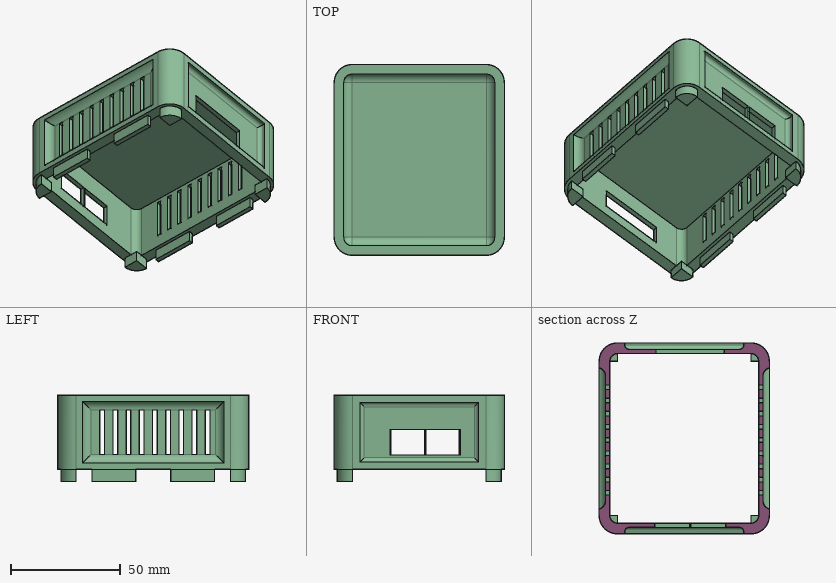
import cadquery as cq

length_x = 77.8
length_y = 87.2
height = 39.5

leg_height = 5.7
corner_radius = 8.5
body_height = height - leg_height
recess_depth = 3.0
web = 2.0
wall = recess_depth + web

dish_margin = 4.45
dish_fillet = 4.0

end_frame = 3.3
side_frame = 3.0
end_recess_fillet = 2.0
side_recess_fillet = 4.0

slot_count = 9
slot_width = 2.0
slot_pitch = 6.0
slot_center_y = -0.74

window_x = 2.7
window_width = 32.3
window_height = 11.5
window_sill = 6.5
mullion_width = 0.7
rear_window_width = 31.0

leg_radius = 7.0
tab_length = 20.05
tab_offset = 18.0

support_inset = corner_radius - leg_radius
side_recess_height = body_height - 2 * side_frame
body_middle = leg_height + body_height / 2
window_z = leg_height + window_sill + window_height / 2


def block(size, center):
    return cq.Workplane("XY").box(*size).translate(center)


def mouth_reach(fillet):
    """Distance from the floor edge of a recess to its mouth edge, for a floor fillet radius."""
    rise = max(fillet - recess_depth, 0)
    return (fillet**2 - rise**2) ** 0.5


def recess_tool(width, depth, fillet, round_corners=False):
    """Cutter with its floor at z = -recess_depth and a width x depth mouth at z = 0."""
    growth = 2 * (fillet - mouth_reach(fillet))
    tool_height = recess_depth + 2 * fillet
    tool = cq.Workplane("XY").box(width + growth, depth + growth, tool_height)
    if round_corners:
        tool = tool.edges("|Z").fillet(fillet)
    tool = tool.faces("<Z").edges().fillet(fillet)
    return tool.translate((0, 0, tool_height / 2 - recess_depth))


def make_shell():
    shell = (
        cq.Workplane("XY", origin=(0, 0, leg_height))
        .rect(length_x, length_y)
        .extrude(body_height)
        .edges("|Z")
        .fillet(corner_radius)
    )
    cavity_height = body_height - wall
    cavity = block(
        (length_x - 2 * wall, length_y - 2 * wall, cavity_height),
        (0, 0, leg_height + cavity_height / 2),
    )
    return shell.cut(cavity.edges("|Z").fillet(corner_radius - wall))


def cut_dish(part):
    dish = recess_tool(length_x - 2 * dish_margin, length_y - 2 * dish_margin, dish_fillet, True)
    return part.cut(dish.translate((0, 0, height)))


def cut_side_recesses(part):
    end_tool = recess_tool(
        length_x - 2 * (corner_radius + end_frame), body_height - 2 * end_frame, end_recess_fillet
    )
    side_tool = recess_tool(
        length_y - 2 * (corner_radius + side_frame), side_recess_height, side_recess_fillet
    )
    for tool, reach, turns in ((end_tool, length_y / 2, (0, 180)), (side_tool, length_x / 2, (90, 270))):
        upright = tool.rotate((0, 0, 0), (1, 0, 0), 90).translate((0, -reach, body_middle))
        for turn in turns:
            part = part.cut(upright.rotate((0, 0, 0), (0, 0, 1), turn))
    return part


def cut_slots(part):
    slot_height = side_recess_height - 2 * mouth_reach(side_recess_fillet)
    for index in range(slot_count):
        y = slot_center_y + (index - (slot_count - 1) / 2) * slot_pitch
        part = part.cut(block((length_x, slot_width, slot_height), (0, y, body_middle)))
    return part


def cut_windows(part):
    half = length_y / 2
    pane_width = (window_width - mullion_width) / 2
    for side in (-1, 1):
        x = window_x + side * (pane_width + mullion_width) / 2
        part = part.cut(block((pane_width, half, window_height), (x, -half / 2, window_z)))
    return part.cut(block((rear_window_width, half, window_height), (window_x, half / 2, window_z)))


def add_supports(part):
    for side_x in (-1, 1):
        for side_y in (-1, 1):
            corner_x = side_x * (length_x / 2 - corner_radius)
            corner_y = side_y * (length_y / 2 - corner_radius)
            disc = cq.Workplane("XY").circle(leg_radius).extrude(leg_height)
            quarter = block(
                (leg_radius, leg_radius, leg_height),
                (side_x * leg_radius / 2, side_y * leg_radius / 2, leg_height / 2),
            )
            part = part.union(disc.intersect(quarter).translate((corner_x, corner_y, 0)))

            tab_x = side_x * (length_x / 2 - support_inset - web / 2)
            tab = block((web, tab_length, leg_height), (tab_x, side_y * tab_offset, leg_height / 2))
            part = part.union(tab)
    return part


result = make_shell()
result = cut_dish(result)
result = cut_side_recesses(result)
result = cut_slots(result)
result = cut_windows(result)
result = add_supports(result)